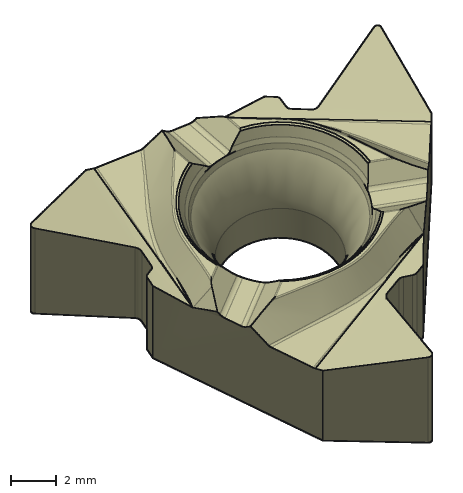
import cadquery as cq
import math


TEETH = 3
THICKNESS = 5.84
FLANK_DISTANCE = 6.33

ROOT_Y = -6.22
TOOTH_RIGHT_X = -1.31
TOOTH_FLANK_ANGLE = 59.06
TIP_RADIUS = 0.19
NOTCH_END_X = -0.07
NOTCH_WALL_ANGLE = 53.0
LOBE_Y = -6.75
TOOTH_ROOT_FILLET = 0.35
NOTCH_FILLET = 0.26
LOBE_FILLET = 0.25

VALLEY_Y = -5.765
VALLEY_Z = 4.62
TIP_Y = -10.225
TIP_Z = 5.80
VALLEY_FILLET = 0.5
FOOT_FILLET = 0.2
WALL_FOOT_CURVE = [
    (-7.2, -3.2),
    (-4.2, -4.37),
    (-1.6, -5.38),
    (-0.3, -5.60),
    (1.2, -5.61),
    (3.05, -5.61),
]
WALL_FOOT_END = (4.5, -5.49)
WALL_CREST_CURVE = [
    (-7.2, -1.43),
    (-4.73, -2.74),
    (-2.3, -4.10),
    (-0.8, -4.65),
    (1.0, -4.70),
    (2.77, -4.75),
]
WALL_CREST_END = (4.5, -4.63)

GROOVE_ANGLE = 14.0
GROOVE_FLOOR_Z = 5.07
GROOVE_FLOOR_WIDTH = 1.09
GROOVE_WALL_ANGLE = 40.0
GROOVE_FILLET = 0.4
GROOVE_INNER_RADIUS = 3.0

BORE_RADIUS = 5.7 / 2
SEAT_BOTTOM_Z = 2.02
SEAT_RADIUS = 3.89
SEAT_TOP_Z = 4.80
LEDGE_RADIUS = 4.01
LEDGE_Z = 5.07
MOUTH_FOOT_RADIUS = 4.16
MOUTH_FOOT_Z = 5.30
MOUTH_TOP_RADIUS = 4.42
MOUTH_TOP_Z = 5.79
MOUTH_RADIUS = 4.53

CREST_FILLET = 0.1

TURN = 360 / TEETH
CLEARANCE = 1.0


def rotated(point, degrees):
    angle = math.radians(degrees)
    x, y = point
    return (
        x * math.cos(angle) - y * math.sin(angle),
        x * math.sin(angle) + y * math.cos(angle),
    )


def around_axis(shape):
    """The shape and its copies turned about the hole axis, one per tooth."""
    return [shape.rotate((0, 0, 0), (0, 0, 1), index * TURN) for index in range(TEETH)]


def tooth_outline():
    """Sharp corners of one third of the outline, each with its fillet radius."""
    left_x = -FLANK_DISTANCE
    apex_x = (left_x + TOOTH_RIGHT_X) / 2
    tooth_height = (TOOTH_RIGHT_X - left_x) / 2 * math.tan(math.radians(TOOTH_FLANK_ANGLE))
    lobe_start_x = NOTCH_END_X + (ROOT_Y - LOBE_Y) / math.tan(math.radians(NOTCH_WALL_ANGLE))
    turn = math.radians(TURN)
    lobe_end_x = (-FLANK_DISTANCE - LOBE_Y * math.sin(turn)) / math.cos(turn)
    return [
        ((left_x, ROOT_Y), 0),
        ((apex_x, ROOT_Y - tooth_height), TIP_RADIUS),
        ((TOOTH_RIGHT_X, ROOT_Y), TOOTH_ROOT_FILLET),
        ((NOTCH_END_X, ROOT_Y), NOTCH_FILLET),
        ((lobe_start_x, LOBE_Y), LOBE_FILLET),
        ((lobe_end_x, LOBE_Y), 0),
    ]


def make_body():
    corners = []
    for index in range(TEETH):
        for point, radius in tooth_outline():
            corners.append((rotated(point, index * TURN), radius))
    body = cq.Workplane("XY").polyline([point for point, _ in corners]).close().extrude(THICKNESS)
    for (x, y), radius in corners:
        if radius > 0:
            near_corner = cq.selectors.NearestToPointSelector((x, y, THICKNESS / 2))
            body = body.edges("|Z").edges(near_corner).fillet(radius)
    return body


def make_tooth_top_cutter():
    """Space above the tooth, which slopes down from the tip to the rounded valley."""
    slope = math.atan2(TIP_Z - VALLEY_Z, VALLEY_Y - TIP_Y)
    outer_y = TIP_Y - CLEARANCE
    outer_z = VALLEY_Z + (VALLEY_Y - outer_y) * math.tan(slope)
    top_z = THICKNESS + CLEARANCE
    inner_y = VALLEY_Y + valley_setback()
    arc_middle = (
        inner_y - VALLEY_FILLET * math.sin(slope / 2),
        VALLEY_Z + VALLEY_FILLET * (1 - math.cos(slope / 2)),
    )
    arc_end = (
        inner_y - VALLEY_FILLET * math.sin(slope),
        VALLEY_Z + VALLEY_FILLET * (1 - math.cos(slope)),
    )
    return (
        cq.Workplane("YZ")
        .moveTo(inner_y, top_z)
        .lineTo(inner_y, VALLEY_Z)
        .threePointArc(arc_middle, arc_end)
        .lineTo(outer_y, outer_z)
        .lineTo(outer_y, top_z)
        .close()
        .extrude(FLANK_DISTANCE + CLEARANCE, both=True)
    )


def valley_setback():
    """Distance along the floor from the sharp valley line to the start of its fillet."""
    slope = math.atan2(TIP_Z - VALLEY_Z, VALLEY_Y - TIP_Y)
    return VALLEY_FILLET * math.tan(slope / 2)


def make_pocket_cutter():
    """Space above the flat pocket floor, outside the sloping wall around the mouth."""
    outer_y = TIP_Y
    left_corner = (WALL_FOOT_CURVE[0][0], outer_y)
    right_corner = (WALL_FOOT_END[0], outer_y)

    def section(plane, curve, end):
        return (
            plane.moveTo(*left_corner)
            .lineTo(*curve[0])
            .spline(curve[1:], includeCurrent=True)
            .lineTo(*end)
            .lineTo(*right_corner)
            .close()
        )

    floor = cq.Workplane("XY", origin=(0, 0, VALLEY_Z))
    foot = section(floor, WALL_FOOT_CURVE, WALL_FOOT_END)
    crest_plane = foot.workplane(offset=THICKNESS - VALLEY_Z)
    cutter = section(crest_plane, WALL_CREST_CURVE, WALL_CREST_END).loft(ruled=True)
    foot_edge = cq.selectors.NearestToPointSelector((*WALL_FOOT_CURVE[2], VALLEY_Z))
    cutter = cutter.edges("<Z").edges(foot_edge).fillet(FOOT_FILLET)
    valley_start = VALLEY_Y + valley_setback()
    inner_side = cq.Workplane("XY", origin=(0, valley_start, 0)).box(
        4 * FLANK_DISTANCE, 2 * FLANK_DISTANCE, 2 * THICKNESS, centered=(True, False, False)
    )
    return cutter.intersect(inner_side)


def make_groove_cutter():
    depth = THICKNESS + CLEARANCE - GROOVE_FLOOR_Z
    half_floor = GROOVE_FLOOR_WIDTH / 2
    half_top = half_floor + depth / math.tan(math.radians(GROOVE_WALL_ANGLE))
    top_z = GROOVE_FLOOR_Z + depth
    profile = [
        (-half_floor, GROOVE_FLOOR_Z),
        (half_floor, GROOVE_FLOOR_Z),
        (half_top, top_z),
        (-half_top, top_z),
    ]
    length = FLANK_DISTANCE + CLEARANCE - GROOVE_INNER_RADIUS
    groove = (
        cq.Workplane("YZ", origin=(GROOVE_INNER_RADIUS, 0, 0))
        .polyline(profile)
        .close()
        .extrude(length)
        .edges("|X and <Z")
        .fillet(GROOVE_FILLET)
    )
    return groove.rotate((0, 0, 0), (0, 0, 1), 180 + GROOVE_ANGLE)


def make_hole_cutter():
    seat_width = SEAT_RADIUS - BORE_RADIUS
    seat_height = SEAT_TOP_Z - SEAT_BOTTOM_Z
    seat_curve = (seat_width**2 + seat_height**2) / (2 * seat_width)
    half_sweep = math.atan(seat_width / seat_height)
    seat_middle = (
        BORE_RADIUS + seat_curve * (1 - math.cos(half_sweep)),
        SEAT_BOTTOM_Z + seat_curve * math.sin(half_sweep),
    )
    return (
        cq.Workplane("XZ")
        .moveTo(0, 0)
        .lineTo(BORE_RADIUS, 0)
        .lineTo(BORE_RADIUS, SEAT_BOTTOM_Z)
        .threePointArc(seat_middle, (SEAT_RADIUS, SEAT_TOP_Z))
        .lineTo(LEDGE_RADIUS, LEDGE_Z)
        .lineTo(MOUTH_FOOT_RADIUS, MOUTH_FOOT_Z)
        .lineTo(MOUTH_TOP_RADIUS, MOUTH_TOP_Z)
        .lineTo(MOUTH_RADIUS, THICKNESS)
        .lineTo(0, THICKNESS)
        .close()
        .revolve(360, (0, 0, 0), (0, 1, 0))
    )


def round_top_edges(body):
    """Round the flat top where it meets the pocket and groove walls, but not at the mouth."""
    return body.faces(">Z").edges("not %CIRCLE").fillet(CREST_FILLET)


result = make_body()
for make_cutter in (make_tooth_top_cutter, make_pocket_cutter, make_groove_cutter):
    for cutter in around_axis(make_cutter()):
        result = result.cut(cutter)
result = result.cut(make_hole_cutter())
result = round_top_edges(result)